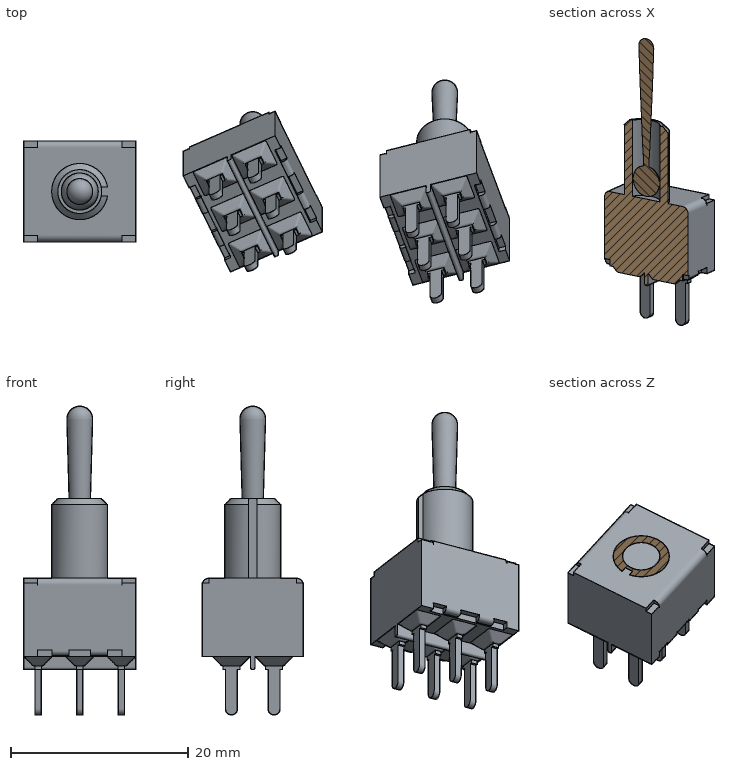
import cadquery as cq
import math

TOTAL_HEIGHT = 34.88

CASE_X = 12.7
CASE_Y = 11.45
CASE_BOTTOM = 6.6
CASE_TOP = 15.45
WALL = 0.75
FOLD_LENGTH = 9.55
LEDGE_DROP = 0.52
NOTCH_HEIGHT = 0.73

TAB_WIDTH = 1.92
TAB_OFFSET = 2.15
TAB_GAP = 0.15
TAB_RADIUS = 0.45

BUSHING_DIAMETER = 6.35
BUSHING_TOP = 24.45
BUSHING_CHAMFER = 0.7
BORE_DIAMETER = 4.2
KEYWAY_WIDTH = 0.98
KEYWAY_DEPTH = BUSHING_CHAMFER

PIN_PITCH_X = 4.7
PIN_PITCH_Y = 4.8
PIN_THICKNESS = 0.73
PIN_WIDTH = 1.35
SHOULDER_WIDTH = 1.95
SHOULDER_BOTTOM = 5.13
FLARE_X = 3.17
FLARE_Y = 4.25
FLARE_HEIGHT = 1.05
FLARE_EDGE_RADIUS = 0.28
RIB_THICKNESS = 0.52
RIB_EDGE_RADIUS = 0.25

TIP_RADIUS = 1.45
NECK_RADIUS = 1.22
BALL_RADIUS = BORE_DIAMETER / 2


def block(size_x, size_y, bottom, top, x=0, y=0):
    """A box centred on (x, y) that spans bottom to top in Z."""
    return (
        cq.Workplane("XY")
        .box(size_x, size_y, top - bottom, centered=(True, True, False))
        .translate((x, y, bottom))
    )


def make_case():
    """Box whose long top edges are rounded folds between two low corner ledges."""
    case = block(CASE_X, CASE_Y, CASE_BOTTOM, CASE_TOP - LEDGE_DROP)
    case = case.union(block(CASE_X, CASE_Y - 2 * WALL, CASE_BOTTOM, CASE_TOP))

    folded_length = block(FOLD_LENGTH, CASE_Y, CASE_BOTTOM, CASE_TOP)
    case = case.cut(folded_length).union(folded_length.edges("|X and >Z").fillet(WALL))

    wall_center = (CASE_Y - WALL) / 2
    notch_top = CASE_BOTTOM + NOTCH_HEIGHT
    for side in (-1, 1):
        case = case.cut(block(FOLD_LENGTH, WALL, CASE_BOTTOM, notch_top, y=side * wall_center))
        outer_edge = "|X and <Z and " + ("<Y" if side < 0 else ">Y")
        for x in (-TAB_OFFSET, TAB_OFFSET):
            tab = block(TAB_WIDTH, WALL, CASE_BOTTOM + TAB_GAP, notch_top, x, side * wall_center)
            case = case.union(tab.edges(outer_edge).fillet(TAB_RADIUS))
    return case


def make_bushing():
    """Chamfered tube with a keyway along its +X side; its bore is closed by the case top."""
    radius = BUSHING_DIAMETER / 2
    bushing = (
        cq.Workplane("XY", origin=(0, 0, CASE_TOP))
        .circle(radius)
        .extrude(BUSHING_TOP - CASE_TOP)
        .faces(">Z")
        .chamfer(BUSHING_CHAMFER)
    )
    bore = (
        cq.Workplane("XY", origin=(0, 0, CASE_TOP))
        .circle(BORE_DIAMETER / 2)
        .extrude(BUSHING_TOP - CASE_TOP)
    )
    keyway = block(
        KEYWAY_DEPTH, KEYWAY_WIDTH, CASE_TOP, BUSHING_TOP, x=radius - KEYWAY_DEPTH / 2
    )
    return bushing.cut(bore).cut(keyway)


def make_terminal(x, y):
    """Flat pin with a round end, a shoulder and a rounded flare under the case."""
    tip_radius = PIN_WIDTH / 2
    blade = (
        cq.Workplane("YZ")
        .moveTo(-tip_radius, CASE_BOTTOM)
        .lineTo(-tip_radius, tip_radius)
        .threePointArc((0, 0), (tip_radius, tip_radius))
        .lineTo(tip_radius, CASE_BOTTOM)
        .close()
        .extrude(PIN_THICKNESS / 2, both=True)
        .translate((x, y, 0))
    )
    shoulder = block(PIN_THICKNESS, SHOULDER_WIDTH, SHOULDER_BOTTOM, CASE_BOTTOM, x, y)
    flare = (
        cq.Workplane("XY", origin=(x, y, CASE_BOTTOM))
        .rect(FLARE_X, FLARE_Y)
        .workplane(offset=-FLARE_HEIGHT)
        .rect(FLARE_X - 2 * FLARE_HEIGHT, FLARE_Y - 2 * FLARE_HEIGHT)
        .loft()
        .edges("not >Z")
        .fillet(FLARE_EDGE_RADIUS)
    )
    return blade.union(shoulder).union(flare)


def make_rib():
    """Thin rib along X under the middle of the case."""
    rib = block(CASE_X, RIB_THICKNESS, SHOULDER_BOTTOM, CASE_BOTTOM)
    return rib.edges("|X and <Z").fillet(RIB_EDGE_RADIUS)


def make_housing():
    """Case, bushing, rib and the two rows of three terminals as one solid."""
    housing = make_case().union(make_bushing()).union(make_rib())
    for column in (-1, 0, 1):
        for row in (-0.5, 0.5):
            housing = housing.union(make_terminal(column * PIN_PITCH_X, row * PIN_PITCH_Y))
    return housing


def make_lever():
    """Round-ended handle that narrows down to a ball standing on the floor of the bore."""
    tip_center = TOTAL_HEIGHT - TIP_RADIUS
    ball_center = CASE_TOP + BALL_RADIUS
    taper = (TIP_RADIUS - NECK_RADIUS) / (tip_center - BUSHING_TOP)
    base_radius = NECK_RADIUS - taper * (BUSHING_TOP - ball_center)
    arc_middle = TIP_RADIUS * math.sqrt(0.5)
    handle = (
        cq.Workplane("XZ")
        .moveTo(0, ball_center)
        .lineTo(base_radius, ball_center)
        .lineTo(TIP_RADIUS, tip_center)
        .threePointArc((arc_middle, tip_center + arc_middle), (0, TOTAL_HEIGHT))
        .close()
        .revolve(360, (0, 0), (0, 1))
    )
    ball = cq.Workplane("XY", origin=(0, 0, ball_center)).sphere(BALL_RADIUS)
    return handle.union(ball)


housing = make_housing()
lever = make_lever()

result = cq.Compound.makeCompound([*housing.solids().vals(), *lever.solids().vals()])